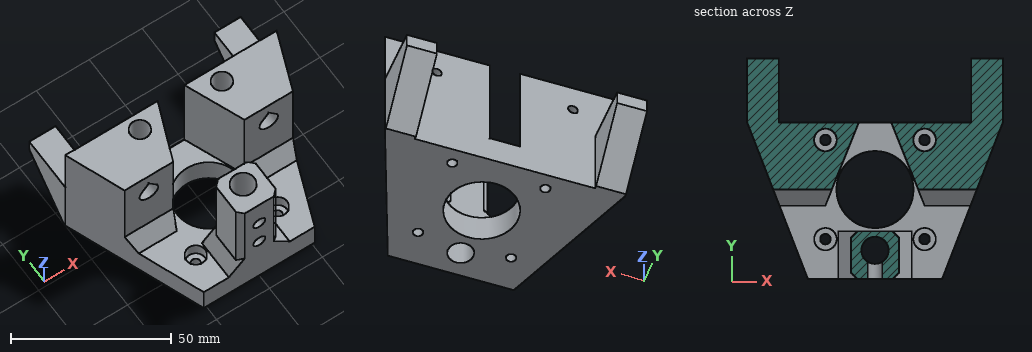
import cadquery as cq
import math


plate_thickness = 10.0
back_y = 21.0
front_y = -28.0
back_half_width = 40.0
front_half_width = 21.0
opening_diameter = 24.0
total_height = 44.0

screw_spacing = 31.0
screw_diameter = 3.2
screw_head_diameter = 7.0
screw_head_floor_z = 5.0

tower_front_y = 0.0
tower_foot = 5.0
tower_foot_y = tower_front_y - tower_foot
tower_gap_half_back = 5.0
tower_gap_half_foot = screw_spacing / 2

clamp_z = 34.0
clamp_tip_rise = 5.5
clamp_wall = 5.0

post_width = 15.0
post_depth = 15.0
post_chamfer = 2.0
post_foot = 4.0
rod_diameter = 8.4
rod_y = -19.0
set_screw_diameter = 4.5
set_screw_count = 2

arm_width = 10.0
arm_end_y = 41.0
arm_top_z = 24.0
arm_tip_height = 5.0

column_height = total_height - plate_thickness
tower_depth = back_y - tower_front_y


def half_width_at(y):
    """Half width of the tapered plate at a given Y."""
    taper = (back_half_width - front_half_width) / (back_y - front_y)
    return back_half_width - taper * (back_y - y)


def gap_half_at(y):
    """Half width of the tapered gap between the towers at a given Y."""
    taper = (tower_gap_half_foot - tower_gap_half_back) / (back_y - tower_foot_y)
    return tower_gap_half_back + taper * (back_y - y)


def make_plate():
    outline = [
        (-back_half_width, back_y),
        (back_half_width, back_y),
        (front_half_width, front_y),
        (-front_half_width, front_y),
    ]
    return cq.Workplane("XY").polyline(outline).close().extrude(plate_thickness)


def make_tower():
    """Tower on the +X side, with a 45 degree foot along its front face."""
    plan = [
        (gap_half_at(back_y), back_y),
        (half_width_at(back_y), back_y),
        (half_width_at(tower_foot_y), tower_foot_y),
        (gap_half_at(tower_foot_y), tower_foot_y),
    ]
    side = [
        (back_y, plate_thickness),
        (back_y, total_height),
        (tower_front_y, total_height),
        (tower_front_y, plate_thickness + tower_foot),
        (tower_foot_y, plate_thickness),
    ]
    base = cq.Workplane("XY", origin=(0, 0, plate_thickness))
    column = base.polyline(plan).close().extrude(column_height)
    profile = cq.Workplane("YZ").polyline(side).close().extrude(back_half_width)
    return column.intersect(profile)


def cut_clamp_hole(tower):
    """Screw hole along Y, widened from the front by a teardrop pocket."""
    x = (half_width_at(tower_front_y) + gap_half_at(tower_front_y)) / 2
    radius = screw_head_diameter / 2
    tangent_angle = math.asin(radius / clamp_tip_rise)
    tangent_x = radius * math.cos(tangent_angle)
    tangent_z = radius * math.sin(tangent_angle)
    front = cq.Workplane("XZ", origin=(x, tower_front_y, clamp_z))
    pocket = (
        front.moveTo(-tangent_x, tangent_z)
        .threePointArc((0, -radius), (tangent_x, tangent_z))
        .lineTo(0, clamp_tip_rise)
        .close()
        .extrude(-(tower_depth - clamp_wall))
    )
    hole = front.circle(screw_diameter / 2).extrude(-tower_depth)
    return tower.cut(pocket).cut(hole)


def make_post():
    """Chamfered rod post on a 45 degree foot that widens along X."""
    foot_half = post_width / 2 + post_foot
    foot_top_half = post_width / 2 - post_chamfer
    foot_rise = foot_half - foot_top_half
    column = (
        cq.Workplane("XY", origin=(0, front_y + post_depth / 2, plate_thickness))
        .rect(post_width, post_depth)
        .extrude(column_height)
        .edges("|Z")
        .chamfer(post_chamfer)
    )
    foot = (
        cq.Workplane("XZ", origin=(0, front_y, plate_thickness))
        .polyline([
            (-foot_half, 0),
            (foot_half, 0),
            (foot_top_half, foot_rise),
            (-foot_top_half, foot_rise),
        ])
        .close()
        .extrude(-post_depth)
    )
    return column.union(foot)


def make_arm():
    """Arm on the +X side, undercut at 45 degrees down to the plate's underside."""
    tip_bottom_z = arm_top_z - arm_tip_height
    side = [
        (back_y, 0),
        (arm_end_y - tip_bottom_z, 0),
        (arm_end_y, tip_bottom_z),
        (arm_end_y, arm_top_z),
        (back_y, arm_top_z),
    ]
    start = cq.Workplane("YZ", origin=(back_half_width - arm_width, 0, 0))
    return start.polyline(side).close().extrude(arm_width)


def cut_motor_screws(body):
    pattern = cq.Workplane("XY").rect(screw_spacing, screw_spacing, forConstruction=True).vertices()
    holes = pattern.circle(screw_diameter / 2).extrude(total_height)
    heads = (
        cq.Workplane("XY", origin=(0, 0, screw_head_floor_z))
        .rect(screw_spacing, screw_spacing, forConstruction=True)
        .vertices()
        .circle(screw_head_diameter / 2)
        .extrude(total_height - screw_head_floor_z)
    )
    return body.cut(holes).cut(heads)


def cut_rod_bore(body):
    """Vertical rod bore, with set screw holes from the front that end in it."""
    bore = cq.Workplane("XY").center(0, rod_y).circle(rod_diameter / 2).extrude(total_height)
    body = body.cut(bore)
    pitch = column_height / (set_screw_count + 1)
    for i in range(set_screw_count):
        z = plate_thickness + (i + 1) * pitch
        start = cq.Workplane("XZ", origin=(0, front_y, z))
        body = body.cut(start.circle(set_screw_diameter / 2).extrude(front_y - rod_y))
    return body


opening = cq.Workplane("XY").circle(opening_diameter / 2).extrude(plate_thickness)
right_side = cut_clamp_hole(make_tower()).union(make_arm())

body = make_plate().cut(opening).union(make_post())
body = body.union(right_side).union(right_side.mirror("YZ"))
body = cut_motor_screws(body)
result = cut_rod_bore(body)